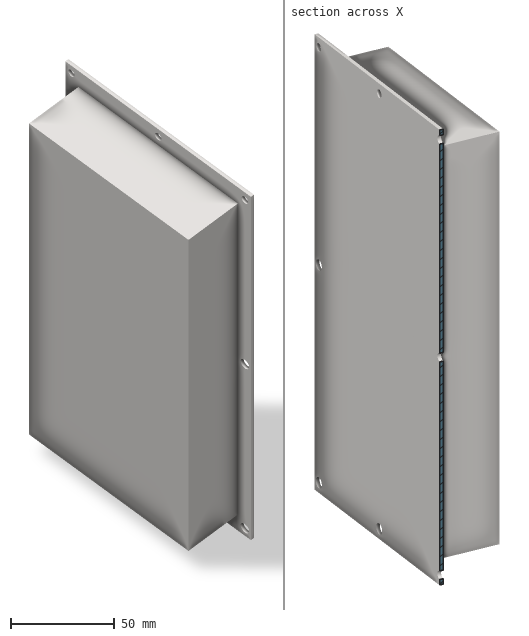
import cadquery as cq

flange_width = 127.0
flange_height = 245.0
flange_thickness = 2.08

box_width = 109.0
box_height = 222.0
total_depth = 36.0
box_depth = total_depth - flange_thickness

small_hole_diameter = 4.5
large_hole_diameter = 6.0
hole_spacing_x = 118.5
hole_spacing_z = 234.2


def block(width, height, front, depth):
    """Block centred in X and Z, reaching from y = front toward +Y."""
    return cq.Workplane("XY").box(width, depth, height).translate((0, front + depth / 2, 0))


def hole_pins(grid_positions, diameter):
    """Pins through the full depth at (column, row) places, counted from the flange centre."""
    centres = [(column * hole_spacing_x / 2, row * hole_spacing_z / 2) for column, row in grid_positions]
    return cq.Workplane("XZ").pushPoints(centres).circle(diameter / 2).extrude(-total_depth)


box = block(box_width, box_height, 0, box_depth)
flange = block(flange_width, flange_height, box_depth, flange_thickness)

small_hole_positions = [(-1, -1), (-1, 0), (-1, 1), (0, 1), (1, 1)]
large_hole_positions = [(0, -1), (1, -1), (1, 0)]

flange = flange.cut(hole_pins(small_hole_positions, small_hole_diameter))
flange = flange.cut(hole_pins(large_hole_positions, large_hole_diameter))

result = box.union(flange)